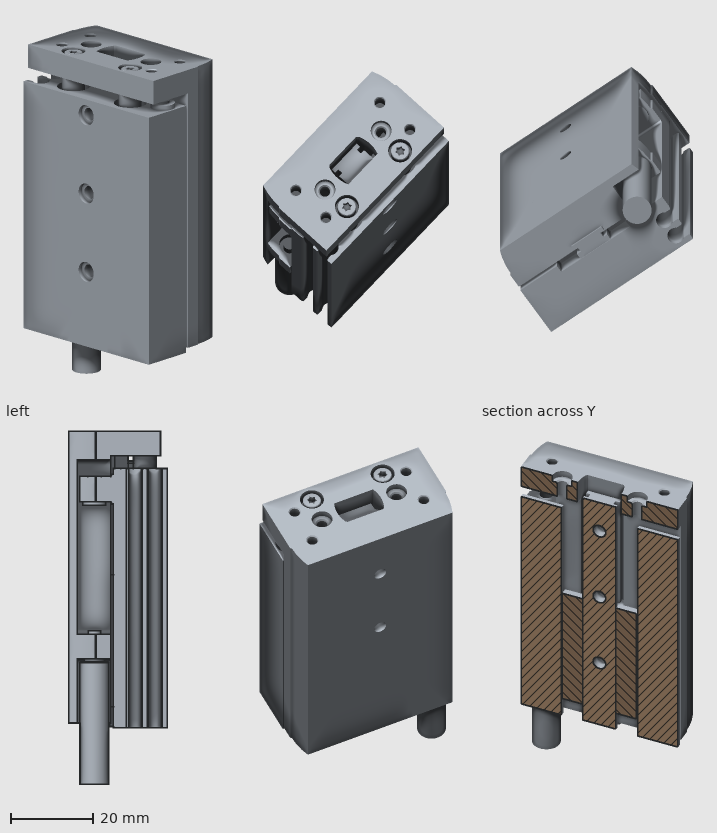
import cadquery as cq
import math


width = 42.0
half_width = width / 2
depth = 24.0
top_z = 85.8

housing_bottom = 13.7
housing_top = 76.8
housing_back = 13.1

flank_end = 17.6
flank_step = 0.35
flank_bevel_start = flank_end - flank_step
back_half_width = 19.5

slot_centers_y = [3.1, 7.9]
slot_opening = 3.1
slot_bore_diameter = 4.0
slot_bore_x = -18.0
slot_bevel = 0.3
slot_rear_bevel_widths = [slot_bevel, 0.5]

lug_bottom = 68.6
lug_top = 74.8
lug_back = 21.3
lug_side_x = -12.9
lug_fillet = 0.6
lug_hole_diameter = 3.3
bumper_diameter = 5.6
bumper_height = 0.9

rail_half_width = 4.5
rail_front = 9.5
rail_back = 15.2
rail_bottom = 14.0
rail_top = 81.5
groove_low_y = 12.8
groove_high_y = 14.1
groove_depth = 1.1
recess_half_width = 10.1
recess_front = 11.3

mount_spacing = 20.0
mount_top_z = 72.8
mount_holes_z = [mount_top_z - mount_spacing * i for i in range(3)]
mount_diameter = 3.3
mount_counterbore_diameter = 5.1
mount_counterbore_depth = 1.1

yoke_front = 1.6
yoke_bottom = 79.8
slide_front = 13.7
slide_bottom = 14.85
plate_front = 21.9
pocket_side_x = -12.4
pocket_fillet = 1.2
upper_pocket_top = 78.85
block_top = 36.5
block_bottom = 30.5

channel_front = 9.0
channel_back = 15.7
channel_end_half_width = 5.2
channel_mid_half_width = 5.8
channel_corner = 0.4

pad_half_width = 9.95
pad_front = 11.7
pad_bottom = 18.8
pad_top = 50.9

thread_x = 15.0
thread_y_positions = [7.3, 17.25]
thread_diameter = 2.5
thread_depth = 5.15
thread_chamfer = 0.3
pin_hole_x = 10.0
pin_hole_y = 12.3
pin_hole_diameter = 2.5
pin_hole_chamfer = 0.35
pin_counterbore_diameter = 5.1
pin_counterbore_depth = 1.7

rod_x = 9.5
rod_y = 5.5
rod_diameter = 5.6
rod_bottom = 22.3
rod_mouth_diameter = 8.0
rod_mouth_depth = 5.15
shank_diameter = 3.0
head_diameter = 4.5
head_chamfer = 0.2
head_pocket_diameter = 5.8
head_pocket_depth = 3.4
head_height = 3.2
torx_diameter = 2.5
torx_depth = 1.7
torx_lobes = 6
torx_root_ratio = 0.7

shock_x = -16.8
shock_y = 17.8
shock_diameter = 7.0
shock_shoulder = 29.8
shock_chamfer = 0.3
shock_neck_diameter = 5.0
shock_neck_top = 33.5
shock_tip_diameter = 3.0
shock_tip_top = 37.3

stop_x = 17.5
stop_y = 8.6
stop_diameter = 6.0
stop_head_top = 78.0
stop_tip_diameter = 3.3
stop_tip_top = 78.6
stop_depth = 6.9


def box(x0, x1, y0, y1, z0, z1):
    """Box between opposite corners."""
    return cq.Workplane("XY").box(x1 - x0, y1 - y0, z1 - z0, centered=False).translate((x0, y0, z0))


def cylinder(x, y, z0, z1, diameter):
    """Cylinder along Z."""
    return cq.Workplane("XY", origin=(x, y, z0)).circle(diameter / 2).extrude(z1 - z0)


def cylinder_along_y(z, y0, y1, diameter):
    """Cylinder along Y at X = 0."""
    return cq.Workplane("XZ", origin=(0, y0, z)).circle(diameter / 2).extrude(y0 - y1)


def contour_prism(y_front, z0, z1):
    """Prism with the rounded rear contour, from y_front to the back of the part."""
    arc_half_width = half_width - flank_step
    arc_dx = arc_half_width - back_half_width
    arc_dy = depth - flank_end
    radius = (arc_dx**2 + arc_dy**2) / (2 * arc_dx)
    half_angle = math.asin(arc_dy / radius) / 2
    mid_x = arc_half_width - radius * (1 - math.cos(half_angle))
    mid_y = flank_end + radius * math.sin(half_angle)
    return (
        cq.Workplane("XY", origin=(0, 0, z0))
        .moveTo(-half_width, y_front)
        .lineTo(half_width, y_front)
        .lineTo(half_width, flank_bevel_start)
        .lineTo(arc_half_width, flank_end)
        .threePointArc((mid_x, mid_y), (back_half_width, depth))
        .lineTo(-back_half_width, depth)
        .threePointArc((-mid_x, mid_y), (-arc_half_width, flank_end))
        .lineTo(-half_width, flank_bevel_start)
        .close()
        .extrude(z1 - z0)
    )


def sensor_slot(y, rear_bevel_width):
    """Keyhole slot along the housing: a round bore with a narrower, bevelled opening in the flank."""
    half_opening = slot_opening / 2
    opening_depth = slot_bore_x + half_width
    opening = (
        cq.Workplane("XY", origin=(-half_width, y, housing_bottom))
        .moveTo(0, -half_opening - slot_bevel)
        .lineTo(slot_bevel, -half_opening)
        .lineTo(opening_depth, -half_opening)
        .lineTo(opening_depth, half_opening)
        .lineTo(slot_bevel, half_opening)
        .lineTo(0, half_opening + rear_bevel_width)
        .close()
        .extrude(housing_top - housing_bottom)
    )
    return opening.union(cylinder(slot_bore_x, y, housing_bottom, housing_top, slot_bore_diameter))


def make_lug():
    """Lug with filleted roots and a bumper under it."""
    root = housing_back + lug_fillet
    outline = (
        cq.Workplane("YZ", origin=(-half_width, 0, 0))
        .moveTo(housing_back, lug_bottom - lug_fillet)
        .radiusArc((root, lug_bottom), -lug_fillet)
        .lineTo(lug_back, lug_bottom)
        .lineTo(lug_back, lug_top)
        .lineTo(root, lug_top)
        .radiusArc((housing_back, lug_top + lug_fillet), -lug_fillet)
        .close()
        .extrude(lug_side_x + half_width)
    )
    lug = outline.intersect(contour_prism(0, housing_bottom, housing_top))
    bumper = cylinder(shock_x, shock_y, lug_bottom - bumper_height, lug_bottom, bumper_diameter)
    hole = cylinder(shock_x, shock_y, lug_bottom, lug_top, lug_hole_diameter)
    return lug.union(bumper).cut(hole)


def make_rail():
    """Guide rail with a ball groove on each side."""
    rail = box(-rail_half_width, rail_half_width, rail_front, rail_back, rail_bottom, rail_top)
    for x0 in (-rail_half_width, rail_half_width - groove_depth):
        rail = rail.cut(box(x0, x0 + groove_depth, groove_low_y, groove_high_y, rail_bottom, rail_top))
    return rail


def make_housing():
    housing = box(-half_width, half_width, 0, housing_back, housing_bottom, housing_top)
    housing = housing.cut(
        box(-recess_half_width, recess_half_width, recess_front, housing_back, housing_bottom, housing_top)
    )
    for y, rear_bevel_width in zip(slot_centers_y, slot_rear_bevel_widths):
        housing = housing.cut(sensor_slot(y, rear_bevel_width))
    for side in (-1, 1):
        x = side * rod_x
        housing = housing.cut(cylinder(x, rod_y, rod_bottom, housing_top, rod_diameter))
        mouth_bottom = housing_top - rod_mouth_depth
        housing = housing.cut(cylinder(x, rod_y, mouth_bottom, housing_top, rod_mouth_diameter))
    housing = housing.cut(cylinder(stop_x, stop_y, housing_top - stop_depth, housing_top, stop_diameter))
    housing = housing.union(make_lug()).union(make_rail())
    for z in mount_holes_z:
        housing = housing.cut(cylinder_along_y(z, 0, rail_back, mount_diameter))
        housing = housing.cut(cylinder_along_y(z, 0, mount_counterbore_depth, mount_counterbore_diameter))
    return housing


def guide_channel():
    """Barrel-shaped channel round the rail, from the carriage up through the yoke."""
    mid_y = (channel_front + channel_back) / 2
    return (
        cq.Workplane("XY", origin=(0, 0, pad_top))
        .moveTo(-channel_end_half_width, channel_front)
        .lineTo(channel_end_half_width, channel_front)
        .threePointArc((channel_mid_half_width, mid_y), (channel_end_half_width, channel_back - channel_corner))
        .lineTo(channel_end_half_width - channel_corner, channel_back)
        .lineTo(-channel_end_half_width + channel_corner, channel_back)
        .lineTo(-channel_end_half_width, channel_back - channel_corner)
        .threePointArc((-channel_mid_half_width, mid_y), (-channel_end_half_width, channel_front))
        .close()
        .extrude(top_z - pad_top)
    )


def side_pocket(z0, z1, rounded_edges):
    """Pocket in the -X side of the slide, rounded where it meets the block or the yoke."""
    pocket = box(-half_width, pocket_side_x, slide_front, plate_front, z0, z1)
    return pocket.edges(rounded_edges).fillet(pocket_fillet)


def bevel(x, y, z, diameter, size):
    """Conical countersink that opens upward to the level z."""
    cone = cq.Solid.makeCone(diameter / 2, diameter / 2 + size, size, cq.Vector(x, y, z - size))
    return cq.Workplane(cone)


def pin_hole(x):
    """Countersunk and counterbored hole through the yoke."""
    floor = top_z - pin_counterbore_depth
    hole = cylinder(x, pin_hole_y, yoke_bottom, floor, pin_hole_diameter)
    counterbore = cylinder(x, pin_hole_y, floor, top_z, pin_counterbore_diameter)
    return hole.union(bevel(x, pin_hole_y, floor, pin_hole_diameter, pin_hole_chamfer)).union(counterbore)


def threaded_hole(x, y):
    """Blind hole in the yoke with a bevelled mouth."""
    hole = cylinder(x, y, top_z - thread_depth, top_z, thread_diameter)
    return hole.union(bevel(x, y, top_z, thread_diameter, thread_chamfer))


def make_slide():
    yoke = contour_prism(yoke_front, yoke_bottom, top_z)
    body = contour_prism(slide_front, slide_bottom, yoke_bottom)
    pad = box(-pad_half_width, pad_half_width, pad_front, slide_front, pad_bottom, pad_top)
    slide = yoke.union(body).union(pad).cut(guide_channel())
    slide = slide.cut(make_rail())
    slide = slide.cut(side_pocket(block_top, upper_pocket_top, ">X and |Y"))
    slide = slide.cut(side_pocket(slide_bottom, block_bottom, ">X and >Z"))
    slide = slide.cut(cylinder(shock_x, shock_y, block_bottom, block_top, shock_neck_diameter))
    for side in (-1, 1):
        for y in thread_y_positions:
            slide = slide.cut(threaded_hole(side * thread_x, y))
        slide = slide.cut(pin_hole(side * pin_hole_x))
        x = side * rod_x
        slide = slide.cut(cylinder(x, rod_y, yoke_bottom, top_z, shank_diameter))
        slide = slide.cut(cylinder(x, rod_y, top_z - head_pocket_depth, top_z, head_pocket_diameter))
    for z in mount_holes_z[:2]:
        slide = slide.cut(cylinder_along_y(z, pad_front, depth, mount_diameter))
    return slide


def torx_recess(x, z):
    """Star-shaped recess with alternating tip and root points."""
    tip = torx_diameter / 2
    points = []
    for i in range(2 * torx_lobes):
        radius = tip if i % 2 == 0 else tip * torx_root_ratio
        angle = math.pi / 2 + i * math.pi / torx_lobes
        points.append((radius * math.cos(angle), radius * math.sin(angle)))
    return cq.Workplane("XY", origin=(x, rod_y, z)).polyline(points).close().extrude(-torx_depth)


def make_rod(x):
    head_bottom = top_z - head_pocket_depth
    head_top = head_bottom + head_height
    rod = cylinder(x, rod_y, rod_bottom, yoke_bottom, rod_diameter)
    shank = cylinder(x, rod_y, yoke_bottom, head_bottom, shank_diameter)
    head = cylinder(x, rod_y, head_bottom, head_top, head_diameter).faces(">Z").chamfer(head_chamfer)
    return rod.union(shank).union(head).cut(torx_recess(x, head_top))


def make_shock_absorber():
    body = cylinder(shock_x, shock_y, 0, shock_shoulder, shock_diameter).faces(">Z").chamfer(shock_chamfer)
    neck = cylinder(shock_x, shock_y, shock_shoulder, shock_neck_top, shock_neck_diameter)
    tip = cylinder(shock_x, shock_y, shock_neck_top, shock_tip_top, shock_tip_diameter)
    return body.union(neck).union(tip)


def make_end_stop():
    head = cylinder(stop_x, stop_y, housing_top - stop_depth, stop_head_top, stop_diameter)
    tip = cylinder(stop_x, stop_y, stop_head_top, stop_tip_top, stop_tip_diameter)
    return head.union(tip)


housing = make_housing()
slide = make_slide()
rods = [make_rod(side * rod_x) for side in (-1, 1)]
shock_absorber = make_shock_absorber()
end_stop = make_end_stop()

result = cq.Compound.makeCompound(
    [housing.val(), slide.val(), *[rod.val() for rod in rods], shock_absorber.val(), end_stop.val()]
)